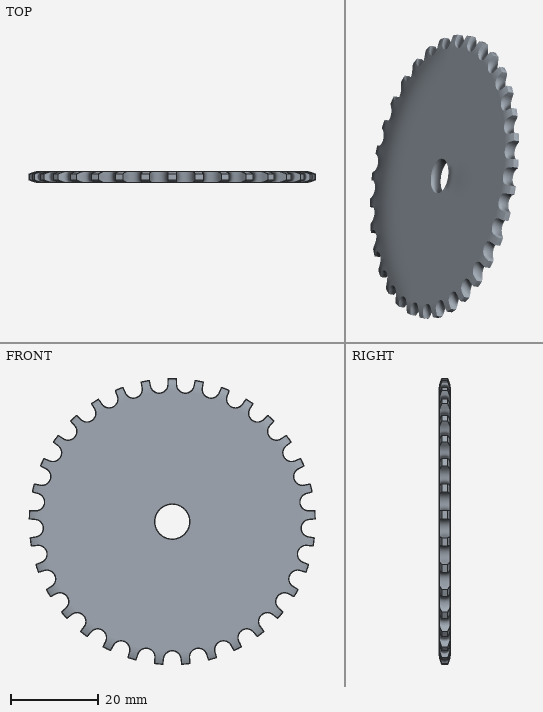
import cadquery as cq
import math

TOOTH_COUNT = 33
TIP_RADIUS = 32.75
THICKNESS = 2.6
BORE_DIAMETER = 8.0
PITCH_RADIUS = 31.55
ROLLER_DIAMETER = 4.0
TIP_WIDTH = 1.9
TIP_THICKNESS = 1.3
FACE_RADIUS = 29.9
CUT_MARGIN = 1.3

TOOTH_ANGLE = 2 * math.pi / TOOTH_COUNT
HALF_ANGLE = TOOTH_ANGLE / 2
ROLLER_RADIUS = ROLLER_DIAMETER / 2
ROOT_RADIUS = PITCH_RADIUS - ROLLER_RADIUS


def make_blank():
    """Disc about the Y axis whose rim is rounded on both sides towards the tooth tips."""
    half_profile = (
        cq.Workplane("XY")
        .lineTo(TIP_RADIUS, 0)
        .lineTo(TIP_RADIUS, TIP_THICKNESS / 2)
        .threePointArc(rim_arc_middle(), (FACE_RADIUS, THICKNESS / 2))
        .lineTo(0, THICKNESS / 2)
        .close()
    )
    half_disc = half_profile.revolve(360, (0, 0, 0), (0, 1, 0))
    return half_disc.union(half_disc.mirror("XZ"))


def rim_arc_middle():
    """Middle of the rim arc, which starts tangent to the flat side face."""
    length = TIP_RADIUS - FACE_RADIUS
    drop = (THICKNESS - TIP_THICKNESS) / 2
    radius = (length**2 + drop**2) / (2 * drop)
    half_sweep = math.atan2(drop, length)
    return (
        FACE_RADIUS + radius * math.sin(half_sweep),
        THICKNESS / 2 - radius * (1 - math.cos(half_sweep)),
    )


def make_gap_cutter():
    """Roller seat on the +Z side, opening outwards along the flanks of the two neighbouring teeth."""
    seat_x = ROLLER_RADIUS * math.cos(HALF_ANGLE)
    seat_z = PITCH_RADIUS - ROLLER_RADIUS * math.sin(HALF_ANGLE)
    half_sweep = (math.pi / 2 - HALF_ANGLE) / 2
    seat_middle = (
        ROLLER_RADIUS * math.sin(half_sweep),
        PITCH_RADIUS - ROLLER_RADIUS * math.cos(half_sweep),
    )
    tip_angle = HALF_ANGLE - math.asin(TIP_WIDTH / 2 / TIP_RADIUS)
    tip_x = TIP_RADIUS * math.sin(tip_angle)
    tip_z = TIP_RADIUS * math.cos(tip_angle)
    outer_z = TIP_RADIUS + CUT_MARGIN
    half_gap = (
        cq.Workplane("XZ")
        .moveTo(0, ROOT_RADIUS)
        .threePointArc(seat_middle, (seat_x, seat_z))
        .tangentArcPoint((tip_x, tip_z), relative=False)
        .lineTo(tip_x, outer_z)
        .lineTo(0, outer_z)
        .close()
        .extrude(THICKNESS, both=True)
    )
    return half_gap.union(half_gap.mirror("YZ"))


def cut_gaps(blank):
    """Cut one gap between each pair of teeth, leaving a tooth centred on +Z."""
    cutter = make_gap_cutter()
    for index in range(TOOTH_COUNT):
        angle = math.degrees((index + 0.5) * TOOTH_ANGLE)
        blank = blank.cut(cutter.rotate((0, 0, 0), (0, 1, 0), angle))
    return blank


def make_bore():
    return cq.Workplane("XZ").circle(BORE_DIAMETER / 2).extrude(THICKNESS, both=True)


result = cut_gaps(make_blank()).cut(make_bore())